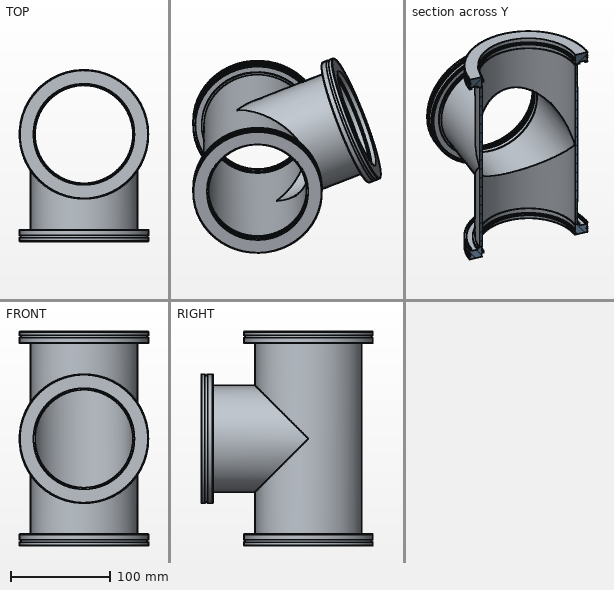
import cadquery as cq

run_length = 216.0
branch_reach = 108.0

tube_radius = 108.0 / 2
tube_bore_radius = 101.5 / 2

flange_radius = 130.0 / 2
flange_thickness = 12.0
edge_chamfer = 0.6

rim_groove_radius = 127.5 / 2
rim_groove_start = 3.9
rim_groove_end = 6.5

seat_radius = 102.0 / 2
seat_depth = 4.8
lip_radius = 98.5 / 2
lip_end = 6.7
rear_bore_radius = 102.2 / 2

recess_inner_radius = 112.5 / 2
recess_outer_radius = 125.0 / 2
recess_depth = 1.7

tube_half_length = run_length / 2 - flange_thickness
branch_tube_reach = branch_reach - flange_thickness


def make_flange():
    """Flange revolved about Z, with its sealing face at z = 0 and its back toward -Z."""
    recess_floor = flange_thickness - recess_depth
    chamfered_radius = flange_radius - edge_chamfer
    rim_groove_middle = (rim_groove_start + rim_groove_end) / 2
    profile = (
        cq.Workplane("XZ")
        .moveTo(seat_radius, 0)
        .lineTo(chamfered_radius, 0)
        .lineTo(flange_radius, -edge_chamfer)
        .lineTo(flange_radius, -rim_groove_start)
        .threePointArc((rim_groove_radius, -rim_groove_middle), (flange_radius, -rim_groove_end))
        .lineTo(flange_radius, -flange_thickness + edge_chamfer)
        .lineTo(chamfered_radius, -flange_thickness)
        .lineTo(recess_outer_radius, -flange_thickness)
        .lineTo(recess_outer_radius, -recess_floor)
        .lineTo(recess_inner_radius, -recess_floor)
        .lineTo(recess_inner_radius, -flange_thickness)
        .lineTo(rear_bore_radius, -flange_thickness)
        .lineTo(rear_bore_radius, -lip_end)
        .lineTo(lip_radius, -lip_end)
        .lineTo(lip_radius, -seat_depth)
        .lineTo(seat_radius, -seat_depth)
        .close()
    )
    return profile.revolve(360, (0, 0), (0, 1))


def make_mitre_wedge():
    """Right-angled wedge opening toward -Y, with its edge on the X axis."""
    width = 2 * flange_radius
    return (
        cq.Workplane("YZ")
        .polyline([(0, 0), (-branch_reach, branch_reach), (-branch_reach, -branch_reach)])
        .close()
        .extrude(width / 2, both=True)
    )


def make_run_tube():
    """Straight tube along Z, notched by the wedge where the branch joins."""
    tube = (
        cq.Workplane("XY")
        .workplane(offset=-tube_half_length)
        .circle(tube_radius)
        .circle(tube_bore_radius)
        .extrude(2 * tube_half_length)
    )
    return tube.cut(make_mitre_wedge())


def make_branch_tube():
    """Tube along -Y, mitred to a point that fills the notch in the run."""
    tube = (
        cq.Workplane("XZ")
        .circle(tube_radius)
        .circle(tube_bore_radius)
        .extrude(branch_tube_reach)
    )
    return tube.intersect(make_mitre_wedge())


flange_places = [
    (0, run_length / 2),
    (180, run_length / 2),
    (90, branch_reach),
]

run_tube = make_run_tube()
branch_tube = make_branch_tube()
flanges = []
for angle, distance in flange_places:
    flange = make_flange().translate((0, 0, distance)).rotate((0, 0, 0), (1, 0, 0), angle)
    flanges.append(flange.val())

result = cq.Compound.makeCompound([run_tube.val(), branch_tube.val(), *flanges])